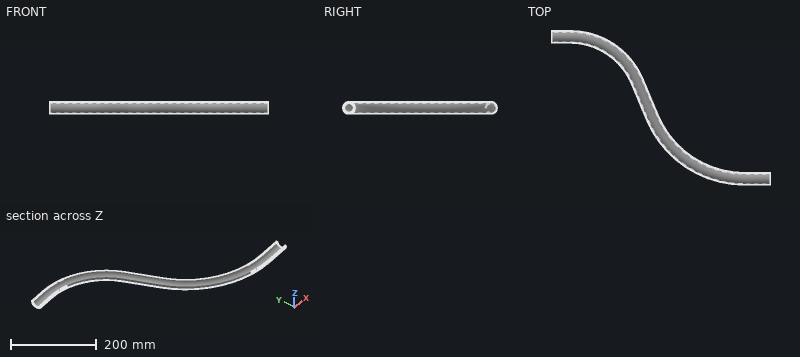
import cadquery as cq
import math

overall_length = 510.0
overall_width = 359.0
outer_diameter = 28.0
inner_diameter = 22.0
start_straight = 43.5
end_straight = 60.0
first_bend_radius = 169.5
second_bend_radius = 233.0

bend_run = overall_length - start_straight - end_straight
offset = overall_width - outer_diameter
radius_sum = first_bend_radius + second_bend_radius
middle_straight = math.sqrt(bend_run**2 + (radius_sum - offset) ** 2 - radius_sum**2)
bend_angle = math.atan2(bend_run, radius_sum - offset) - math.atan2(middle_straight, radius_sum)


def first_bend_point(angle):
    """Centreline point after turning by angle towards -Y."""
    x = start_straight + first_bend_radius * math.sin(angle)
    y = -first_bend_radius * (1 - math.cos(angle))
    return x, y


def second_bend_point(angle):
    """Centreline point where angle is still left to turn back to +X."""
    x = overall_length - end_straight - second_bend_radius * math.sin(angle)
    y = -offset + second_bend_radius * (1 - math.cos(angle))
    return x, y


centreline = (
    cq.Workplane("XY")
    .lineTo(start_straight, 0)
    .threePointArc(first_bend_point(bend_angle / 2), first_bend_point(bend_angle))
    .lineTo(*second_bend_point(bend_angle))
    .threePointArc(second_bend_point(bend_angle / 2), second_bend_point(0))
    .lineTo(overall_length, -offset)
)

result = (
    cq.Workplane("YZ")
    .circle(outer_diameter / 2)
    .circle(inner_diameter / 2)
    .sweep(centreline)
)